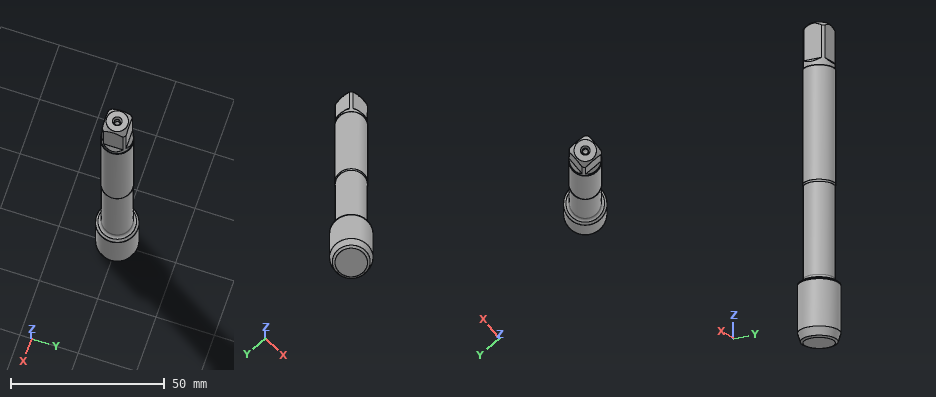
import cadquery as cq
import math

LENGTH = 110.0

HEAD_RADIUS = 14.2 / 2
HEAD_TOP = 19.7
LEAD_HEIGHT = 3.3
LEAD_RADIUS = 6.2
TIP_CHAMFER_HEIGHT = 0.4
TIP_RADIUS = 5.3

COLLAR_RIM_HEIGHT = 0.3
COLLAR_CHAMFER_TOP = 20.7
COLLAR_RADIUS = 6.3
COLLAR_TOP = 21.9

NECK_RADIUS = 10.5 / 2
SHANK_RADIUS = 10.9 / 2
SHANK_BOTTOM = 54.1
SHANK_CHAMFER_HEIGHT = 0.7
SHANK_TOP = 94.6
SHANK_TOP_CHAMFER = 0.2
DRIVE_RADIUS = 10.6 / 2

SQUARE_WIDTH = 8.2
SQUARE_BOTTOM = 97.1
END_RADIUS = 3.6

CENTRE_DIAMETER = 2.0
CENTRE_MOUTH_RADIUS = 1.5
CENTRE_DEPTH = 2.8
CENTRE_CONE_HALF_ANGLE = math.radians(30)
DRILL_POINT_HALF_ANGLE = math.radians(59)


def make_head():
    """Cylindrical head with a tapered lead-in and a chamfered tip."""
    return (
        cq.Workplane("XZ")
        .moveTo(0, 0)
        .lineTo(TIP_RADIUS, 0)
        .lineTo(LEAD_RADIUS, TIP_CHAMFER_HEIGHT)
        .lineTo(HEAD_RADIUS, LEAD_HEIGHT)
        .lineTo(HEAD_RADIUS, HEAD_TOP)
        .lineTo(0, HEAD_TOP)
        .close()
        .revolve(360, (0, 0), (0, 1))
    )


def make_turned_shank():
    """Collar, neck, shank and drive end turned about Z."""
    arc_middle = (
        NECK_RADIUS + (COLLAR_RADIUS - NECK_RADIUS) * (1 - math.sqrt(0.5)),
        COLLAR_TOP - (COLLAR_TOP - COLLAR_CHAMFER_TOP) * math.sqrt(0.5),
    )
    end_chamfer = DRIVE_RADIUS - END_RADIUS
    return (
        cq.Workplane("XZ")
        .moveTo(0, HEAD_TOP)
        .lineTo(HEAD_RADIUS, HEAD_TOP)
        .lineTo(HEAD_RADIUS, HEAD_TOP + COLLAR_RIM_HEIGHT)
        .lineTo(COLLAR_RADIUS, COLLAR_CHAMFER_TOP)
        .threePointArc(arc_middle, (NECK_RADIUS, COLLAR_TOP))
        .lineTo(NECK_RADIUS, SHANK_BOTTOM)
        .lineTo(SHANK_RADIUS, SHANK_BOTTOM + SHANK_CHAMFER_HEIGHT)
        .lineTo(SHANK_RADIUS, SHANK_TOP - SHANK_TOP_CHAMFER)
        .lineTo(DRIVE_RADIUS, SHANK_TOP)
        .lineTo(DRIVE_RADIUS, LENGTH - end_chamfer)
        .lineTo(END_RADIUS, LENGTH)
        .lineTo(0, LENGTH)
        .close()
        .revolve(360, (0, 0), (0, 1))
    )


def make_flat_cutter():
    """Prism that cuts one flat on the +X side, with a 45 degree run-out."""
    flat = SQUARE_WIDTH / 2
    outside = SHANK_RADIUS
    return (
        cq.Workplane("XZ")
        .moveTo(flat, SQUARE_BOTTOM)
        .lineTo(outside, SQUARE_BOTTOM - (outside - flat))
        .lineTo(outside, LENGTH)
        .lineTo(flat, LENGTH)
        .close()
        .extrude(outside, both=True)
    )


def make_centre_hole():
    """Countersunk centre hole with a conical bottom."""
    radius = CENTRE_DIAMETER / 2
    mouth_depth = (CENTRE_MOUTH_RADIUS - radius) / math.tan(CENTRE_CONE_HALF_ANGLE)
    point_depth = radius / math.tan(DRILL_POINT_HALF_ANGLE)
    return (
        cq.Workplane("XZ")
        .moveTo(0, LENGTH)
        .lineTo(CENTRE_MOUTH_RADIUS, LENGTH)
        .lineTo(radius, LENGTH - mouth_depth)
        .lineTo(radius, LENGTH - CENTRE_DEPTH)
        .lineTo(0, LENGTH - CENTRE_DEPTH - point_depth)
        .close()
        .revolve(360, (0, 0), (0, 1))
    )


def make_shank():
    """Turned shank with a driving square and a centre hole."""
    shank = make_turned_shank()
    flat_cutter = make_flat_cutter()
    for angle in range(0, 360, 90):
        shank = shank.cut(flat_cutter.rotate((0, 0, 0), (0, 0, 1), angle))
    return shank.cut(make_centre_hole())


head = make_head()
shank = make_shank()

result = cq.Compound.makeCompound([head.val(), shank.val()])